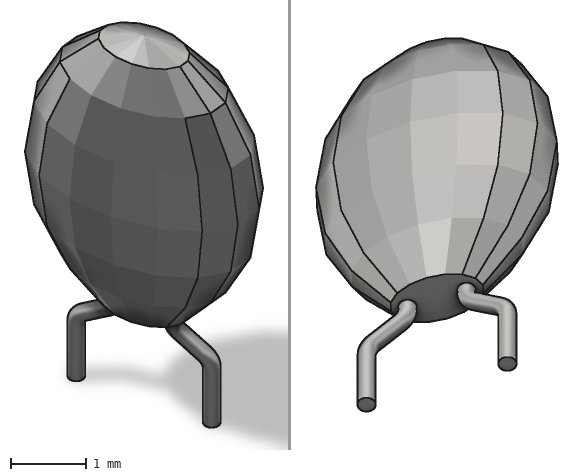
import cadquery as cq
import math

half_width = 1.7
half_depth = 1.0
half_height = 2.5
total_height = 6.75
equator_z = total_height - half_height
base_z = equator_z - half_height
sides = 16
bands = 8

wire_diameter = 0.24
foot_x = 1.0
neck_x = 0.42
foot_length = 1.01
bend_radius = 0.25
bend_angle = 55.0


def ring_points(ring):
    """Corners of one horizontal ring of the bead, counted down from the apex."""
    polar = math.pi * ring / bands
    is_base = ring == bands - 1
    z = base_z if is_base else equator_z + half_height * math.cos(polar)
    points = []
    for side in range(sides):
        turn = 2 * math.pi * side / sides
        x = half_width * math.sin(polar) * math.cos(turn)
        y = half_depth * math.sin(polar) * math.sin(turn)
        points.append(cq.Vector(x, y, z))
    return points


def polygon_face(points):
    return cq.Face.makeFromWires(cq.Wire.makePolygon(points, close=True))


def make_bead():
    """Closed shell of triangles from the apex to the base ring, with a flat base."""
    apex = cq.Vector(0, 0, total_height)
    rings = [ring_points(ring) for ring in range(1, bands)]
    faces = [polygon_face(rings[-1])]
    for side in range(sides):
        following = (side + 1) % sides
        faces.append(polygon_face([apex, rings[0][side], rings[0][following]]))
        for upper, lower in zip(rings, rings[1:]):
            faces.append(polygon_face([upper[side], lower[side], lower[following]]))
            faces.append(polygon_face([upper[side], lower[following], upper[following]]))
    return cq.Workplane(cq.Solid.makeSolid(cq.Shell.makeShell(faces)))


def make_lead(direction):
    """One lead; direction is -1 for the -X lead and 1 for the +X lead."""
    angle = math.radians(bend_angle)
    bend_run = bend_radius * (1 - math.cos(angle))
    bend_rise = bend_radius * math.sin(angle)
    half_run = bend_radius * (1 - math.cos(angle / 2))
    half_rise = bend_radius * math.sin(angle / 2)
    slope_run = foot_x - neck_x - 2 * bend_run
    slope_rise = slope_run / math.tan(angle)
    neck_z = foot_length + 2 * bend_rise + slope_rise

    def at(x, z):
        return (direction * x, z)

    path = (
        cq.Workplane("XZ")
        .moveTo(*at(foot_x, 0))
        .lineTo(*at(foot_x, foot_length))
        .threePointArc(
            at(foot_x - half_run, foot_length + half_rise),
            at(foot_x - bend_run, foot_length + bend_rise),
        )
        .lineTo(*at(neck_x + bend_run, neck_z - bend_rise))
        .threePointArc(at(neck_x + half_run, neck_z - half_rise), at(neck_x, neck_z))
        .lineTo(*at(neck_x, base_z))
    )
    foot_end = cq.Workplane("XY").center(direction * foot_x, 0).circle(wire_diameter / 2)
    return foot_end.sweep(path)


bead = make_bead()
leads = [make_lead(direction) for direction in (-1, 1)]

result = cq.Compound.makeCompound([bead.val(), *[lead.val() for lead in leads]])